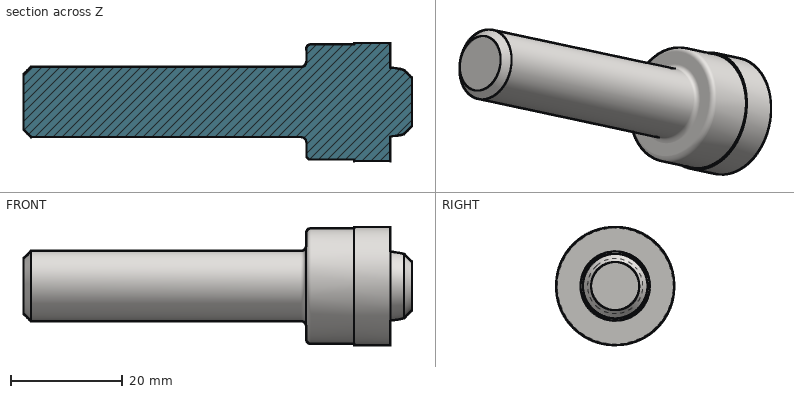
import cadquery as cq
import math

total_length = 69.85
collar_start = 50.8
head_start = 59.45
head_end = 65.95

shaft_radius = 6.35
collar_radius = 10.4
head_radius = 10.65
tip_base_radius = 6.2
tip_radius = 4.3

shaft_chamfer = 1.4
tip_chamfer = 1.5
root_fillet = 0.85
collar_fillet = 0.9

crown_start = 66.1
crown_bulge = 0.1
cone_start = total_length - tip_chamfer
cone_radius = tip_radius + tip_chamfer


def point_on_arc(center_x, center_r, radius, degrees):
    """Point on a circle in the axial half-plane."""
    angle = math.radians(degrees)
    return (center_x + radius * math.cos(angle), center_r + radius * math.sin(angle))


root_mid = point_on_arc(
    collar_start - root_fillet, shaft_radius + root_fillet, root_fillet, -45
)
collar_mid = point_on_arc(
    collar_start + collar_fillet, collar_radius - collar_fillet, collar_fillet, 135
)
crown_mid = (
    (crown_start + cone_start) / 2,
    (tip_base_radius + cone_radius) / 2 + crown_bulge,
)

profile = (
    cq.Workplane("XY")
    .moveTo(0, 0)
    .lineTo(0, shaft_radius - shaft_chamfer)
    .lineTo(shaft_chamfer, shaft_radius)
    .lineTo(collar_start - root_fillet, shaft_radius)
    .threePointArc(root_mid, (collar_start, shaft_radius + root_fillet))
    .lineTo(collar_start, collar_radius - collar_fillet)
    .threePointArc(collar_mid, (collar_start + collar_fillet, collar_radius))
    .lineTo(head_start, collar_radius)
    .lineTo(head_start, head_radius)
    .lineTo(head_end, head_radius)
    .lineTo(head_end, tip_base_radius)
    .lineTo(crown_start, tip_base_radius)
    .threePointArc(crown_mid, (cone_start, cone_radius))
    .lineTo(total_length, tip_radius)
    .lineTo(total_length, 0)
    .close()
)

result = profile.revolve(360, (0, 0, 0), (1, 0, 0))